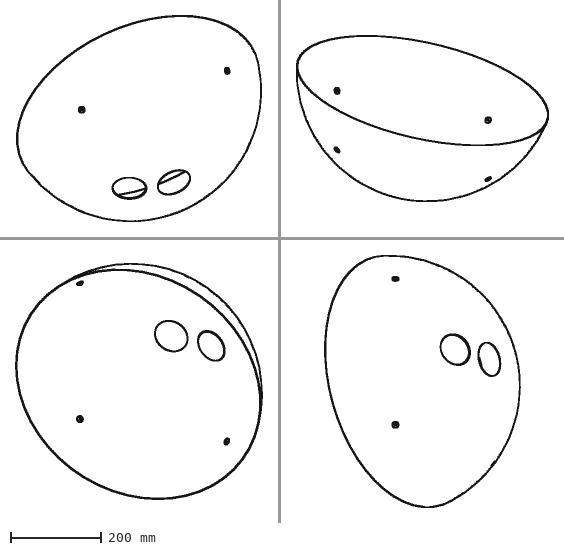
import cadquery as cq
import math

sphere_radius = 290.0
wall = 2.0
overall_depth = 239.0
centre_hole_diameter = 76.0

sphere_centre_x = overall_depth - math.sqrt(sphere_radius**2 - (centre_hole_diameter / 2) ** 2)

side_hole_diameter = 68.0
side_hole_y = -99.0
side_hole_chamfer = 1.9

screw_offset = 172.0
screw_hole_diameter = 5.2
dimple_diameter = 14.2
dimple_depth = 3.0
boss_diameter = 14.2
boss_tip_diameter = 6.0
boss_height = 3.5


def point_on_sphere(radius, distance_from_axis):
    """(x, distance) of the point of a concentric sphere at that distance from the X axis."""
    return (sphere_centre_x + math.sqrt(radius**2 - distance_from_axis**2), distance_from_axis)


def shell():
    """Domed shell with its centre hole, revolved about X."""
    inner_radius = sphere_radius - wall
    hole_radius = centre_hole_diameter / 2
    mid_distance = sphere_radius / 2
    outer_rim = (0, math.sqrt(sphere_radius**2 - sphere_centre_x**2))
    inner_rim = (0, math.sqrt(inner_radius**2 - sphere_centre_x**2))
    return (
        cq.Workplane("XY")
        .moveTo(*outer_rim)
        .threePointArc(
            point_on_sphere(sphere_radius, mid_distance),
            point_on_sphere(sphere_radius, hole_radius),
        )
        .lineTo(*point_on_sphere(inner_radius, hole_radius))
        .threePointArc(point_on_sphere(inner_radius, mid_distance), inner_rim)
        .close()
        .revolve(360, (0, 0), (1, 0))
    )


def cut_side_hole(body):
    """Bore parallel to X whose outer edge is chamfered almost through the wall."""
    bore = cq.Workplane("YZ").center(side_hole_y, 0).circle(side_hole_diameter / 2).extrude(overall_depth)
    outer_x, _ = point_on_sphere(sphere_radius, abs(side_hole_y))
    outer_edge = cq.NearestToPointSelector((outer_x, side_hole_y, 0))
    return body.cut(bore).edges(outer_edge).chamfer(side_hole_chamfer)


def screw_axis_plane(y, z):
    """Plane on the outer sphere at (y, z) whose normal points to the sphere centre."""
    from_centre = math.sqrt(sphere_radius**2 - y**2 - z**2)
    return cq.Plane(
        origin=(sphere_centre_x + from_centre, y, z),
        xDir=(0, -z, y),
        normal=(-from_centre, -y, -z),
    )


def frustum(plane, start_diameter, start, end_diameter, end):
    """Round frustum along the plane normal, between two depths below the plane."""
    profile_plane = cq.Plane(origin=plane.origin, xDir=plane.xDir, normal=-plane.yDir)
    profile = [
        (0, start),
        (start_diameter / 2, start),
        (end_diameter / 2, end),
        (0, end),
    ]
    return cq.Workplane(profile_plane).polyline(profile).close().revolve(360, (0, 0), (0, 1))


def add_dimple(body, y, z):
    """Conical recess outside, matching raised cone inside, and a screw hole through both."""
    plane = screw_axis_plane(y, z)
    tip = wall + boss_height

    root = wall / 2
    boss_flare = (boss_diameter - boss_tip_diameter) / boss_height
    boss_root_diameter = boss_diameter + boss_flare * (wall - root)
    boss = frustum(plane, boss_root_diameter, root, boss_tip_diameter, tip)

    recess_flare = (dimple_diameter - screw_hole_diameter) / dimple_depth
    recess_top_diameter = dimple_diameter + recess_flare * wall
    recess = frustum(plane, recess_top_diameter, -wall, screw_hole_diameter, dimple_depth)

    hole = frustum(plane, screw_hole_diameter, 0, screw_hole_diameter, tip + wall)
    return body.union(boss).cut(recess).cut(hole)


result = cut_side_hole(shell())
for y_side in (-1, 1):
    for z_side in (-1, 1):
        result = add_dimple(result, y_side * screw_offset, z_side * screw_offset)